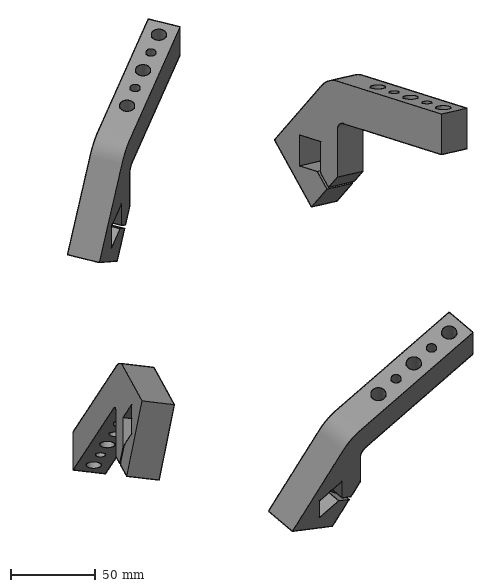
import cadquery as cq
import math

length = 152.5
width = 20.0
height = 82.5

arm_height = 25.0
arm_underside_length = 95.0
outer_bend_radius = 20.0
inner_bend_radius = 5.0

head_angle = 44.7
nose_drop = 48.4

window_size = 19.0
window_offset = 110.6
window_drop = 40.4
slot_width = 2.0
slot_length = 15.3
pin_diameter = 6.0
pin_distance = 4.7
pin_embed = 1.5

large_hole = 9.0
small_hole = 6.0
hole_count = 5
first_hole_offset = 10.0
hole_pitch = 15.0

slope = math.radians(head_angle)
down_slope = cq.Vector(0, -math.cos(slope), -math.sin(slope))
across_head = cq.Vector(0, math.sin(slope), -math.cos(slope))

side_plane = cq.Plane(origin=(-width / 2, 0, 0), xDir=(0, 1, 0), normal=(1, 0, 0))


def make_body():
    """Extrude the bent side outline across the width and round both bends."""
    bend_y = -length + nose_drop / math.tan(slope)
    end_face_length = (height - nose_drop) / math.cos(slope)
    tail_y = -length + end_face_length * math.sin(slope)
    heel_z = -height + (-arm_underside_length - tail_y) * math.tan(slope)
    outline = [
        (0, 0),
        (bend_y, 0),
        (-length, -nose_drop),
        (tail_y, -height),
        (-arm_underside_length, heel_z),
        (-arm_underside_length, -arm_height),
        (0, -arm_height),
    ]
    body = cq.Workplane(side_plane).polyline(outline).close().extrude(width)
    outer_bend = cq.selectors.NearestToPointSelector((0, bend_y, 0))
    body = body.edges("|X").edges(outer_bend).fillet(outer_bend_radius)
    inner_bend = cq.selectors.NearestToPointSelector((0, -arm_underside_length, -arm_height))
    return body.edges("|X").edges(inner_bend).fillet(inner_bend_radius)


def make_window():
    return (
        cq.Workplane(side_plane)
        .center(-window_offset - window_size / 2, -window_drop - window_size / 2)
        .rect(window_size, window_size)
        .extrude(width)
    )


slot_corner = cq.Vector(0, -window_offset, -window_drop - window_size)


def make_slot():
    """Slot from the window corner out through the underside of the head."""
    start = slot_corner - across_head * slot_width
    end = slot_corner + across_head * slot_length
    gap = down_slope * slot_width
    corners = [
        start,
        end,
        end + gap,
        start + gap,
    ]
    outline = [(corner.y, corner.z) for corner in corners]
    return cq.Workplane(side_plane).polyline(outline).close().extrude(width)


def make_pin():
    """Round pin bridging the slot, sunk a little into both walls."""
    start = slot_corner + across_head * pin_distance - down_slope * pin_embed
    plane = cq.Plane(origin=start, xDir=(1, 0, 0), normal=down_slope)
    return cq.Workplane(plane).circle(pin_diameter / 2).extrude(slot_width + 2 * pin_embed)


def make_arm_holes():
    """Vertical through holes, large and small in turn."""
    holes = cq.Workplane("XY")
    for index in range(hole_count):
        diameter = large_hole if index % 2 == 0 else small_hole
        hole_y = -first_hole_offset - index * hole_pitch
        hole = cq.Workplane("XY").center(0, hole_y).circle(diameter / 2).extrude(-arm_height)
        holes = holes.add(hole)
    return holes.combine()


result = make_body().cut(make_window()).cut(make_slot()).cut(make_arm_holes()).union(make_pin())